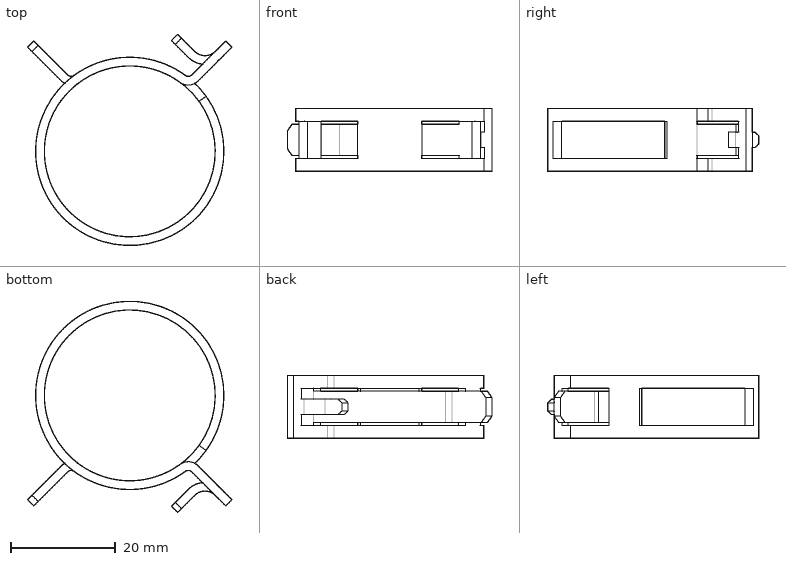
import cadquery as cq
import math


overall_depth = 40.3
outer_radius = 17.98
thickness = 1.7
band_height = 12.0
window_height = 7.0
tongue_height = 5.95
inner_radius = outer_radius - thickness

tab_angle = 45
band_start_angle = 35.8
tongue_window_angle = 143.6
side_window_top_angle = 15.5
side_window_bottom_angle = -70

tab_reach = 27.85
tab_offset = 0.26
bend_radius = 0.95
tab_window_reach = 25.8
tongue_chamfer = 1.2

finger_height = 2.95
finger_face_reach = 22.25
finger_bend_radius = 2.8
finger_chamfer_length = 1.05
finger_chamfer_height = 0.7

tab_direction = (math.cos(math.radians(tab_angle)), math.sin(math.radians(tab_angle)), 0)
tab_plane = cq.Plane(origin=(0, 0, 0), xDir=tab_direction, normal=(0, 0, 1))

finger_length = (overall_depth - outer_radius - finger_face_reach * tab_direction[1]) / tab_direction[0]

tab_inner_face = tab_offset + thickness
bend_center_y = tab_inner_face + bend_radius
bend_center_x = math.sqrt((outer_radius + bend_radius) ** 2 - bend_center_y ** 2)
bend_angle = math.degrees(math.atan2(bend_center_y, bend_center_x))


def polar(radius, angle, center=(0, 0)):
    """Point at a radius and an angle in degrees about a centre."""
    turn = math.radians(angle)
    return (center[0] + radius * math.cos(turn), center[1] + radius * math.sin(turn))


def bent_strip(start_angle, height, reach):
    """Strip running clockwise from start_angle to the bend, then out along the tab."""
    start = start_angle - tab_angle
    middle = (start + bend_angle) / 2
    bend_center = (bend_center_x, bend_center_y)
    bend_from = bend_angle + 180
    bend_to = 270
    bend_middle = (bend_from + bend_to) / 2
    outside_bend_radius = bend_radius + thickness
    return (
        cq.Workplane(tab_plane)
        .moveTo(*polar(outer_radius, start))
        .threePointArc(polar(outer_radius, middle), polar(outer_radius, bend_angle))
        .threePointArc(
            polar(bend_radius, bend_middle, bend_center),
            polar(bend_radius, bend_to, bend_center),
        )
        .lineTo(reach, tab_inner_face)
        .lineTo(reach, tab_offset)
        .lineTo(bend_center_x, tab_offset)
        .threePointArc(
            polar(outside_bend_radius, bend_middle, bend_center),
            polar(inner_radius, bend_angle),
        )
        .threePointArc(polar(inner_radius, middle), polar(inner_radius, start))
        .close()
        .extrude(height / 2, both=True)
    )


def side_window():
    """Cutter for the window on the +X side of the ring."""
    cut_inner = inner_radius - thickness
    cut_outer = outer_radius + thickness
    middle = (side_window_top_angle + side_window_bottom_angle) / 2
    return (
        cq.Workplane("XY")
        .moveTo(*polar(cut_inner, side_window_bottom_angle))
        .lineTo(*polar(cut_outer, side_window_bottom_angle))
        .threePointArc(polar(cut_outer, middle), polar(cut_outer, side_window_top_angle))
        .lineTo(*polar(cut_inner, side_window_top_angle))
        .threePointArc(polar(cut_inner, middle), polar(cut_inner, side_window_bottom_angle))
        .close()
        .extrude(window_height / 2, both=True)
    )


def pointed_blank(along, tip, height, chamfer_length, chamfer_height):
    """Plate standing upright along a direction, with the corners of its tip cut off.

    Intersecting a strip with it trims the strip's tip to the same outline."""
    half = height / 2
    outline = [
        (-tip, -half),
        (tip - chamfer_length, -half),
        (tip, chamfer_height - half),
        (tip, half - chamfer_height),
        (tip - chamfer_length, half),
        (-tip, half),
    ]
    plane = cq.Plane(origin=(0, 0, 0), xDir=along, normal=along.cross(cq.Vector(0, 0, 1)))
    blank_half_width = 2 * tab_reach
    return cq.Workplane(plane).polyline(outline).close().extrude(blank_half_width, both=True)


def band():
    """Wide ring with its tab, tongue window and two side windows."""
    body = bent_strip(band_start_angle + 360, band_height, tab_reach)
    tongue_window = bent_strip(tongue_window_angle, window_height, tab_window_reach)
    right_window = side_window()
    left_window = right_window.mirror("YZ")
    return body.cut(tongue_window).cut(right_window).cut(left_window)


def tongue():
    """Narrow strip from the band's start to the chamfered tab on the -X side.

    Built as its mirror image, so its start angle is mirrored too."""
    strip = bent_strip(180 - band_start_angle, tongue_height, tab_reach)
    blank = pointed_blank(
        tab_plane.xDir, tab_reach, tongue_height, tongue_chamfer, tongue_chamfer
    )
    return strip.intersect(blank).mirror("YZ")


def finger():
    """Latch finger: leaves the tab window end and bends across toward the tongue."""
    center = (finger_face_reach + finger_bend_radius, tab_inner_face + finger_bend_radius)
    outside_bend_radius = finger_bend_radius + thickness
    bend_middle = 225
    strip = (
        cq.Workplane(tab_plane)
        .moveTo(tab_window_reach, tab_offset)
        .lineTo(center[0], tab_offset)
        .threePointArc(
            polar(outside_bend_radius, bend_middle, center),
            polar(outside_bend_radius, 180, center),
        )
        .lineTo(finger_face_reach - thickness, finger_length)
        .lineTo(finger_face_reach, finger_length)
        .lineTo(finger_face_reach, center[1])
        .threePointArc(
            polar(finger_bend_radius, bend_middle, center),
            polar(finger_bend_radius, 270, center),
        )
        .lineTo(tab_window_reach, tab_inner_face)
        .close()
        .extrude(finger_height / 2, both=True)
    )
    blank = pointed_blank(
        tab_plane.yDir, finger_length, finger_height, finger_chamfer_length, finger_chamfer_height
    )
    return strip.intersect(blank)


result = band().union(tongue()).union(finger())